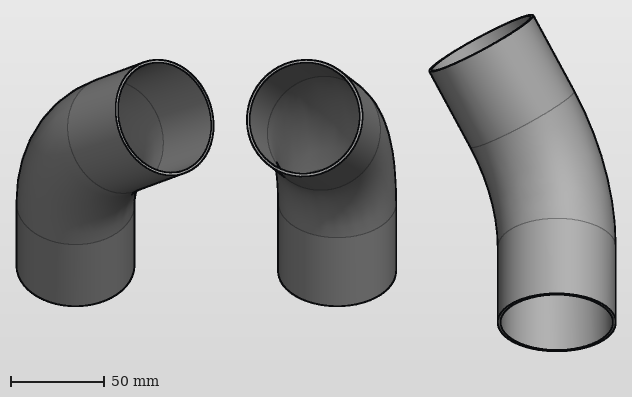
import cadquery as cq
import math

overall_height = 168.8
outer_diameter = 63.5
inner_diameter = 60.2
bend_angle = 45.0
bend_radius = 1.5 * outer_diameter

bend_sine = math.sin(math.radians(bend_angle))
bend_cosine = math.cos(math.radians(bend_angle))
bend_rise = (bend_radius + outer_diameter / 2) * bend_sine
straight_length = (overall_height - bend_rise) / (1 + bend_cosine)

bend_start = (0, straight_length)
bend_middle = (
    bend_radius * (1 - math.cos(math.radians(bend_angle / 2))),
    straight_length + bend_radius * math.sin(math.radians(bend_angle / 2)),
)
bend_end = (
    bend_radius * (1 - bend_cosine),
    straight_length + bend_radius * bend_sine,
)
upper_end = (
    bend_end[0] + straight_length * bend_sine,
    bend_end[1] + straight_length * bend_cosine,
)
centreline = (
    cq.Workplane("XZ")
    .lineTo(*bend_start)
    .threePointArc(bend_middle, bend_end)
    .lineTo(*upper_end)
)

tube_section = cq.Workplane("XY").circle(outer_diameter / 2).circle(inner_diameter / 2)
result = tube_section.sweep(centreline)